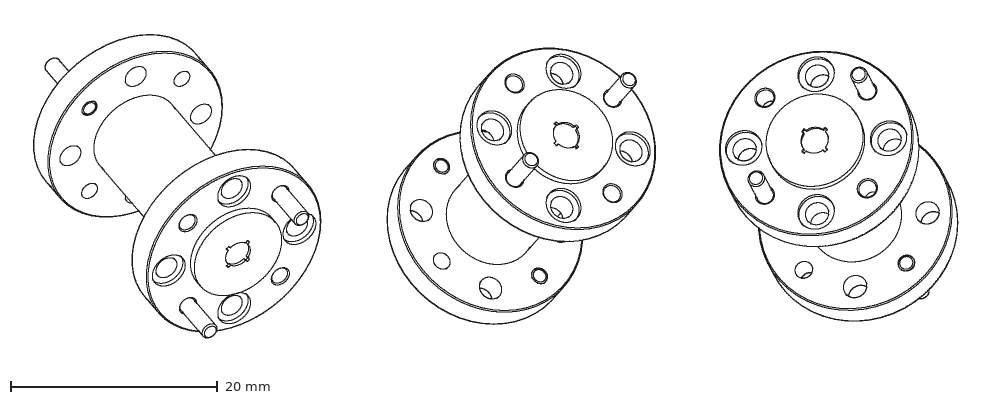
import cadquery as cq
import math

housing_length = 25.4
pilot_height = 0.8
flange_thickness = 3.25
flange_face = housing_length / 2 - pilot_height
flange_back = flange_face - flange_thickness

flange_diameter = 19.05
flange_edge_chamfer = 0.125
pilot_diameter = 9.55
tube_diameter = 9.15

bolt_circle_radius = 7.13
screw_hole_diameter = 2.3
screw_recess_diameter = 3.58
screw_recess_depth = 0.5
screw_angles = [0, 90, 180, 270]

pin_diameter = 1.62
pin_end_chamfer = 0.15
overall_length = 33.15
pin_tip = overall_length / 2
short_pin_setback = 0.1
pin_hole_mouth_chamfer = 0.13
open_hole_diameter = 1.72
open_hole_mouth_chamfer = 0.13

window_diameter = 2.7
window_depth = 0.33
notch_circle_diameter = 3.25
notch_width = 0.33
notch_diagonals = [45, 135]

LEFT = -1
RIGHT = 1

pin_angles = {LEFT: [135, 315], RIGHT: [45, 225]}
short_pin = (RIGHT, 45)


def bolt_circle_point(angle):
    """Y and Z of a place on the bolt circle."""
    turn = math.radians(angle)
    return bolt_circle_radius * math.cos(turn), bolt_circle_radius * math.sin(turn)


def rod(diameter, x_start, x_end, center=(0, 0)):
    """Cylinder along X between two places, centred at the given Y and Z."""
    return (
        cq.Workplane("YZ", origin=(x_start, *center))
        .circle(diameter / 2)
        .extrude(x_end - x_start)
    )


def hole_mouth(diameter, chamfer, side, angle):
    """Cone that breaks the edge of a hole at the outer face of a flange."""
    y, z = bolt_circle_point(angle)
    return cq.Workplane(obj=cq.Solid.makeCone(
        diameter / 2 + chamfer,
        diameter / 2,
        chamfer,
        pnt=cq.Vector(side * flange_face, y, z),
        dir=cq.Vector(-side, 0, 0),
    ))


def make_flange(side):
    """Flange disc with screw holes, pin holes and open holes for the mating pins."""
    face = side * flange_face
    back = side * flange_back
    flange = rod(flange_diameter, back, face).edges().chamfer(flange_edge_chamfer)

    for angle in screw_angles:
        center = bolt_circle_point(angle)
        recess_floor = face - side * screw_recess_depth
        flange = flange.cut(rod(screw_hole_diameter, back, face, center))
        flange = flange.cut(rod(screw_recess_diameter, recess_floor, face, center))

    for angle in pin_angles[side]:
        flange = flange.cut(rod(pin_diameter, back, face, bolt_circle_point(angle)))
        flange = flange.cut(hole_mouth(pin_diameter, pin_hole_mouth_chamfer, side, angle))

    for angle in pin_angles[-side]:
        flange = flange.cut(rod(open_hole_diameter, back, face, bolt_circle_point(angle)))
        flange = flange.cut(hole_mouth(open_hole_diameter, open_hole_mouth_chamfer, side, angle))
    return flange


def make_window(side):
    """Round recess in a pilot face, with four round-ended diagonal notches beyond its circle."""
    end = side * housing_length / 2
    floor = end - side * window_depth
    window = rod(window_diameter, floor, end)
    notch_limit = rod(notch_circle_diameter, floor, end)
    for diagonal in notch_diagonals:
        bar = (
            cq.Workplane("YZ", origin=(floor, 0, 0))
            .transformed(rotate=(0, 0, diagonal))
            .rect(notch_circle_diameter, notch_width)
            .extrude(end - floor)
        )
        window = window.union(bar.intersect(notch_limit))
    return window


def make_housing():
    """Tube with a flange, a pilot and a window at each end, as one solid."""
    housing = rod(tube_diameter, -flange_back, flange_back)
    for side in (LEFT, RIGHT):
        pilot = rod(pilot_diameter, side * flange_face, side * housing_length / 2)
        housing = housing.union(make_flange(side)).union(pilot)
        housing = housing.cut(make_window(side))
    return housing


def make_pin(side, angle, tip):
    """Pin flush with the back of its flange, chamfered at both ends."""
    pin = rod(pin_diameter, side * flange_back, side * tip, bolt_circle_point(angle))
    return pin.edges().chamfer(pin_end_chamfer)


housing = make_housing()

pins = []
for side in (LEFT, RIGHT):
    for angle in pin_angles[side]:
        setback = short_pin_setback if (side, angle) == short_pin else 0
        tip = pin_tip - setback
        pins.append(make_pin(side, angle, tip))

result = cq.Compound.makeCompound([housing.val(), *[pin.val() for pin in pins]])